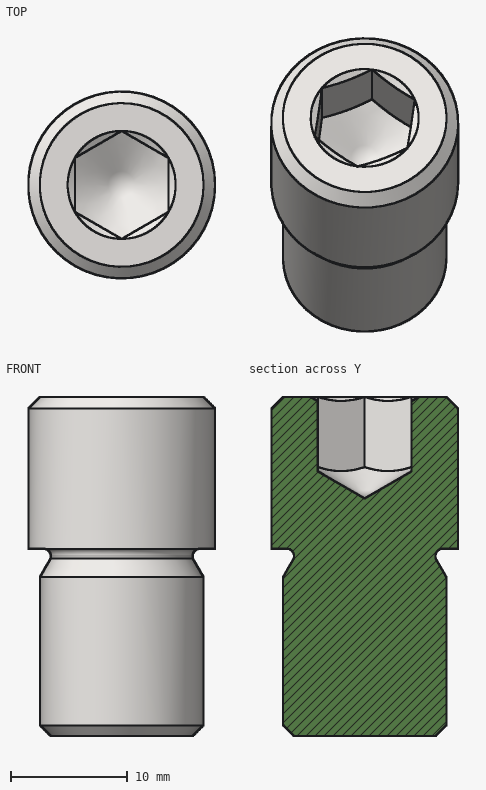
import cadquery as cq
import math

total_length = 29.0
shank_length = 16.0

head_radius = 16.0 / 2
head_chamfer = 1.0

shank_radius = 14.0 / 2
undercut_radius = 12.16 / 2
undercut_fillet = 0.6
undercut_length = 2.4
undercut_angle = math.radians(30)

socket_across_flats = 8.0
socket_depth = 6.0
socket_entry_angle = math.radians(60)
socket_floor_angle = math.radians(60)

thread_depth = shank_radius - undercut_radius
runout_start = shank_length - undercut_length
runout_end = runout_start + thread_depth / math.tan(undercut_angle)
socket_corner_radius = socket_across_flats / 2 / math.cos(math.pi / 6)


def make_body():
    """Revolve the half section of the screw around Z."""
    fillet_start = shank_length - undercut_fillet
    arc_middle_offset = undercut_fillet * (1 - math.sqrt(0.5))
    half_section = (
        cq.Workplane("XZ")
        .lineTo(shank_radius - thread_depth, 0)
        .lineTo(shank_radius, thread_depth)
        .lineTo(shank_radius, runout_start)
        .lineTo(undercut_radius, runout_end)
        .lineTo(undercut_radius, fillet_start)
        .threePointArc(
            (undercut_radius + arc_middle_offset, shank_length - arc_middle_offset),
            (undercut_radius + undercut_fillet, shank_length),
        )
        .lineTo(head_radius, shank_length)
        .lineTo(head_radius, total_length - head_chamfer)
        .lineTo(head_radius - head_chamfer, total_length)
        .lineTo(0, total_length)
        .close()
    )
    return half_section.revolve(360, (0, 0, 0), (0, 1, 0))


def make_pointed_envelope(tip_height, half_angle):
    """Head-wide round solid with a conical lower end, reaching from tip_height past the top face."""
    cone_top = tip_height + head_radius / math.tan(half_angle)
    envelope_top = total_length + head_radius
    return (
        cq.Workplane("XZ")
        .moveTo(0, tip_height)
        .lineTo(head_radius, cone_top)
        .lineTo(head_radius, envelope_top)
        .lineTo(0, envelope_top)
        .close()
        .revolve(360, (0, 0, 0), (0, 1, 0))
    )


def make_socket():
    """Hexagon with corners on the Y axis and a conical floor that meets the corners at full depth."""
    tip_height = total_length - socket_depth - socket_corner_radius / math.tan(socket_floor_angle)
    prism = (
        cq.Workplane("XY", origin=(0, 0, tip_height))
        .transformed(rotate=(0, 0, 90))
        .polygon(6, 2 * socket_corner_radius)
        .extrude(total_length - tip_height)
    )
    return prism.intersect(make_pointed_envelope(tip_height, socket_floor_angle))


def make_socket_mouth():
    """Countersink as wide as the hexagon corners at the top face."""
    tip_height = total_length - socket_corner_radius / math.tan(socket_entry_angle)
    return make_pointed_envelope(tip_height, socket_entry_angle)


result = make_body().cut(make_socket()).cut(make_socket_mouth())